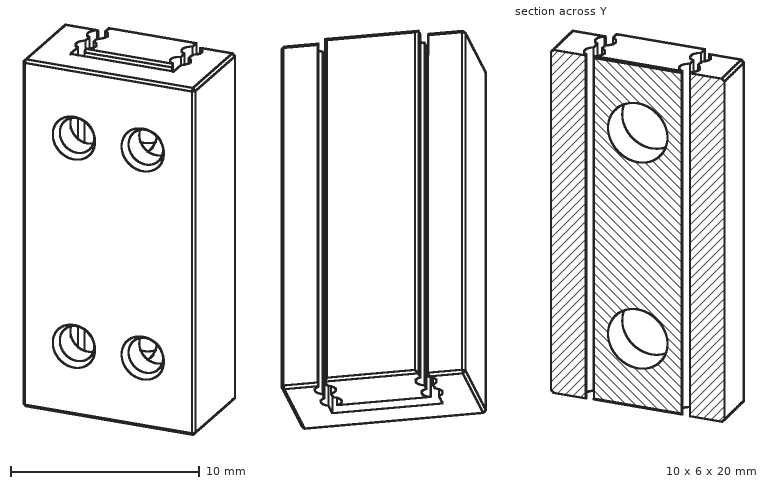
import cadquery as cq

width = 10.0
depth = 6.0
length = 20.0
edge_chamfer = 0.15
back = -depth / 2
front = depth / 2
inward = cq.Vector(0, 1, 0)

housing_depth = 5.5
slot_width = 6.0
floor_thickness = 1.8

slider_width = 5.08
slider_depth = 3.4
slider_back = front - slider_depth

groove_radius = 0.55
groove_x = 2.75
groove_spacing = 1.52
lower_groove_y = back + 3.28
groove_heights = [lower_groove_y, lower_groove_y + groove_spacing]

hole_diameter = 2.0
countersink_diameter = 2.45
countersink_depth = 0.4
hole_pitch_x = 4.0
hole_pitch_z = 12.0

recess_diameter = 3.4
recess_depth = 2.0


def box(size_x, start_y, size_y):
    """Full-length box, centred on X and Z, that runs from start_y toward +Y."""
    return cq.Workplane("XY").box(size_x, size_y, length).translate((0, start_y + size_y / 2, 0))


def ball_grooves():
    """Four full-length cylinders that cut the ball grooves of both bodies."""
    centres = [(side * groove_x, y) for side in (-1, 1) for y in groove_heights]
    return (
        cq.Workplane("XY", origin=(0, 0, -length / 2))
        .pushPoints(centres)
        .circle(groove_radius)
        .extrude(length)
    )


def mounting_holes():
    """Cylinders and cones that cut the countersunk holes from the outer floor face."""
    start = cq.Vector(0, back, 0)
    hole = cq.Solid.makeCylinder(hole_diameter / 2, floor_thickness, start, inward)
    countersink = cq.Solid.makeCone(
        countersink_diameter / 2, hole_diameter / 2, countersink_depth, start, inward
    )
    cutter = hole.fuse(countersink)
    cutters = cq.Workplane("XY")
    for x in (-hole_pitch_x / 2, hole_pitch_x / 2):
        for z in (-hole_pitch_z / 2, hole_pitch_z / 2):
            cutters = cutters.add(cutter.translate(cq.Vector(x, 0, z)))
    return cutters.combine()


def recesses():
    """Two cylinders that cut the blind recesses from the inner slider face."""
    cutters = cq.Workplane("XY")
    for z in (-hole_pitch_z / 2, hole_pitch_z / 2):
        start = cq.Vector(0, slider_back, z)
        cutters = cutters.add(cq.Solid.makeCylinder(recess_diameter / 2, recess_depth, start, inward))
    return cutters.combine()


def make_housing():
    """Chamfered block with the channel, ball grooves and mounting holes cut out."""
    block = box(width, back, housing_depth).edges().chamfer(edge_chamfer)
    slot = box(slot_width, back + floor_thickness, depth)
    return block.cut(slot).cut(ball_grooves()).cut(mounting_holes())


def make_slider():
    """Bar chamfered all round its +Y face, but only at the two ends of its inner face."""
    bar = box(slider_width, slider_back, slider_depth)
    bar = bar.faces("<Y").edges("|X").chamfer(edge_chamfer)
    bar = bar.faces(">Y").edges().chamfer(edge_chamfer)
    return bar.cut(ball_grooves()).cut(recesses())


housing = make_housing()
slider = make_slider()
result = cq.Compound.makeCompound([housing.val(), slider.val()])